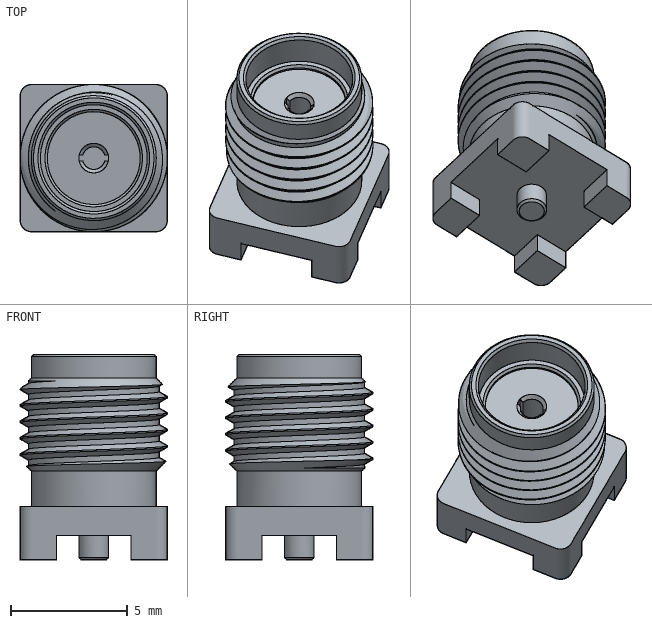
import cadquery as cq
import math

overall_height = 8.84
base_side = 6.35

base_height = 2.3
base_corner_radius = 0.5
foot_height = 1.04
foot_gap = 3.2

contact_diameter = 1.27
socket_diameter = 0.97
socket_depth = 1.77
contact_slit_width = 0.25
pin_chamfer = 0.1

barrel_diameter = 5.38
rim_chamfer = 0.1

bore_diameter = 4.6
bore_mouth_diameter = 4.81
bore_depth = 1.45
recess_diameter = 4.0
recess_mouth_diameter = 4.2
recess_depth = 0.19

thread_diameter = base_side
thread_root_diameter = 5.64
thread_bottom = 3.82
thread_top = 7.82
thread_pitch = 0.71
thread_root_flat = 0.24
thread_flank_angle = 30.0
ridge_overlap = 0.04
envelope_clearance = 0.18


def disc(diameter, bottom, top):
    return cq.Workplane("XY").workplane(offset=bottom).circle(diameter / 2).extrude(top - bottom)


def tapered_hole(mouth_diameter, diameter, top, depth):
    """Cutting tool for a round hole with a 45 degree countersunk mouth."""
    countersink = (mouth_diameter - diameter) / 2
    return (
        cq.Workplane("XZ")
        .moveTo(0, top)
        .lineTo(mouth_diameter / 2, top)
        .lineTo(diameter / 2, top - countersink)
        .lineTo(diameter / 2, top - depth)
        .lineTo(0, top - depth)
        .close()
        .revolve(360, (0, 0), (0, 1))
    )


def make_base():
    base = (
        cq.Workplane("XY")
        .rect(base_side, base_side)
        .extrude(base_height)
        .edges("|Z")
        .fillet(base_corner_radius)
    )
    for length, width in ((base_side, foot_gap), (foot_gap, base_side)):
        base = base.cut(cq.Workplane("XY").rect(length, width).extrude(foot_height))
    pin = disc(contact_diameter, 0, base_height).faces("<Z").chamfer(pin_chamfer)
    return base.union(pin)


def make_thread():
    """Helical ridge on the root cylinder, trimmed by a 45 degree cone at each end."""
    root_radius = thread_root_diameter / 2
    crest_radius = thread_diameter / 2
    buried_radius = root_radius - ridge_overlap
    flank_slope = math.tan(math.radians(thread_flank_angle))
    root_half = (thread_pitch - thread_root_flat) / 2
    crest_half = root_half - (crest_radius - root_radius) * flank_slope
    buried_half = root_half + ridge_overlap * flank_slope

    start = thread_bottom - 1.5 * thread_pitch
    turns = math.ceil((thread_top - thread_bottom) / thread_pitch) + 3
    helix = cq.Wire.makeHelix(thread_pitch, turns * thread_pitch, root_radius, cq.Vector(0, 0, start))
    ridge = (
        cq.Workplane("XZ")
        .polyline([
            (buried_radius, start - buried_half),
            (crest_radius, start - crest_half),
            (crest_radius, start + crest_half),
            (buried_radius, start + buried_half),
        ])
        .close()
        .sweep(cq.Workplane(obj=helix), isFrenet=True)
    )

    envelope_radius = crest_radius + envelope_clearance
    end_chamfer = envelope_radius - barrel_diameter / 2
    envelope = disc(2 * envelope_radius, thread_bottom, thread_top).edges().chamfer(end_chamfer)
    root = disc(thread_root_diameter, thread_bottom, thread_top)
    return root.intersect(envelope).union(ridge.intersect(envelope))


def make_bore():
    insulator_face = overall_height - bore_depth - recess_depth
    bore = tapered_hole(bore_mouth_diameter, bore_diameter, overall_height, bore_depth)
    recess = tapered_hole(
        recess_mouth_diameter, recess_diameter, overall_height - bore_depth, recess_depth
    )
    socket = tapered_hole(contact_diameter, socket_diameter, insulator_face, socket_depth)
    slit = (
        cq.Workplane("XY")
        .workplane(offset=insulator_face - socket_depth)
        .rect(contact_diameter, contact_slit_width)
        .extrude(socket_depth)
        .intersect(disc(contact_diameter, insulator_face - socket_depth, insulator_face))
    )
    return bore.union(recess).union(socket).union(slit)


barrel = disc(barrel_diameter, base_height, overall_height).faces(">Z").chamfer(rim_chamfer)
result = make_base().union(barrel).union(make_thread()).cut(make_bore())